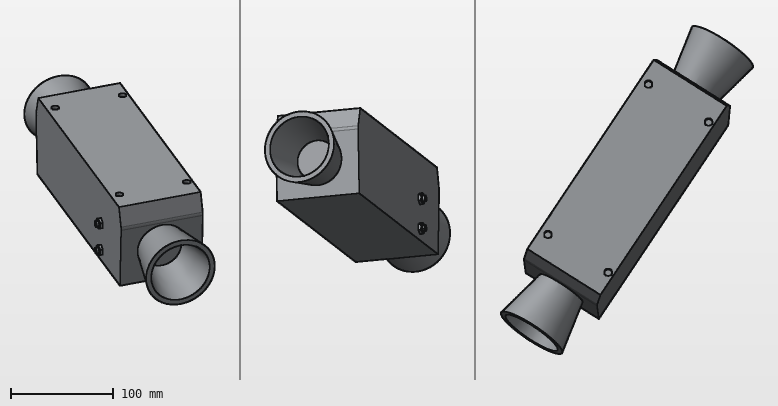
import cadquery as cq
import math

housing_depth = 85.0
housing_height = 87.12
ridge_length = 238.8
top_length = 226.3
bottom_length = 232.0
ridge_z = housing_height - 20.9
ridge_radius = 10.0

overall_length = 341.88
funnel_axis_z = 36.5
mouth_diameter = 71.5
mouth_bore_diameter = 60.7
throat_diameter = 50.5
throat_bore_diameter = 40.0
funnel_overlap = 5.0

top_hole_diameter = 7.5
top_hole_depth = 4.0
top_hole_spacing_x = 180.0
top_hole_spacing_y = 70.0
top_hole_center_y = 1.5

screw_x = 63.0
screw_heights = (12.0, 42.0)
screw_diameter = 6.0
overall_depth = 90.68
screw_projection = overall_depth - housing_depth
socket_across_flats = 3.0
socket_depth = 3.0
nut_across_flats = 10.0
nut_thickness = 3.2
nut_face_diameter = 9.4
nut_chamfer_height = 1.0

front_y = -housing_depth / 2


def hexagon_corner_diameter(across_flats):
    return across_flats / math.cos(math.radians(30))


def make_hexagonal_bar(across_flats, length):
    """Hexagonal bar running from Y = 0 toward -Y, with points at +Z and -Z."""
    bar = cq.Workplane("XZ").polygon(6, hexagon_corner_diameter(across_flats)).extrude(length)
    return bar.rotate((0, 0, 0), (0, 1, 0), 30)


def make_housing():
    right_side = [
        (bottom_length / 2, 0),
        (ridge_length / 2, ridge_z),
        (top_length / 2, housing_height),
    ]
    left_side = [(-x, z) for x, z in reversed(right_side)]
    profile = cq.Workplane("XZ").polyline(right_side + left_side).close()
    prism = profile.extrude(housing_depth / 2, both=True)
    return prism.edges("|Y").edges(">X or <X").fillet(ridge_radius)


def make_cone(throat, mouth, start_x):
    """Cone along +X from start_x out to the end of the part, widening from throat to mouth."""
    end_x = overall_length / 2
    outline = [
        (start_x, 0),
        (start_x, throat / 2),
        (end_x, mouth / 2),
        (end_x, 0),
    ]
    cone = cq.Workplane("XZ").polyline(outline).close().revolve(360, (0, 0, 0), (1, 0, 0))
    return cone.translate((0, 0, funnel_axis_z))


def add_funnels(body):
    throat_x = ridge_length / 2
    root_x = bottom_length / 2 - funnel_overlap
    slope = (mouth_diameter - throat_diameter) / (overall_length / 2 - throat_x)
    root_diameter = throat_diameter - slope * (throat_x - root_x)
    outside = make_cone(root_diameter, mouth_diameter, root_x)
    bore = make_cone(throat_bore_diameter, mouth_bore_diameter, throat_x)
    for funnel in (outside, outside.mirror("YZ")):
        body = body.union(funnel)
    for cut in (bore, bore.mirror("YZ")):
        body = body.cut(cut)
    return body


def cut_top_holes(body):
    return (
        body.faces(">Z")
        .workplane(origin=(0, top_hole_center_y, housing_height))
        .rarray(top_hole_spacing_x, top_hole_spacing_y, 2, 2)
        .hole(top_hole_diameter, top_hole_depth)
    )


def make_nut():
    """Hexagonal nut with points at +Z and -Z, its outer corners turned to a cone."""
    corner_diameter = hexagon_corner_diameter(nut_across_flats)
    blank = make_hexagonal_bar(nut_across_flats, nut_thickness)
    face_radius = nut_face_diameter / 2
    corner_radius = corner_diameter / 2
    envelope = (
        cq.Workplane("XY")
        .moveTo(0, 0)
        .lineTo(corner_radius, 0)
        .lineTo(corner_radius, nut_chamfer_height - nut_thickness)
        .lineTo(face_radius, -nut_thickness)
        .lineTo(0, -nut_thickness)
        .close()
        .revolve(360, (0, 0, 0), (0, 1, 0))
    )
    return blank.intersect(envelope)


def make_screw():
    stud = cq.Workplane("XZ").circle(screw_diameter / 2).extrude(screw_projection)
    socket_floor_y = socket_depth - screw_projection
    socket = make_hexagonal_bar(socket_across_flats, socket_depth).translate((0, socket_floor_y, 0))
    return make_nut().union(stud).cut(socket)


def add_screws(body):
    screw = make_screw()
    for height in screw_heights:
        body = body.union(screw.translate((screw_x, front_y, height)))
    return body


result = add_screws(cut_top_holes(add_funnels(make_housing())))